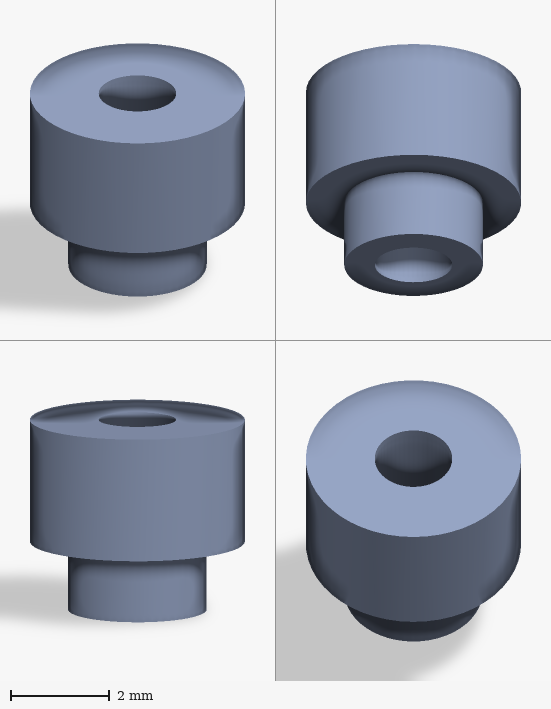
import cadquery as cq

head_diameter = 4.35
shank_diameter = 2.8
bore_diameter = 1.565
total_height = 3.9
head_height = 2.5
shank_height = total_height - head_height

shank = cq.Workplane("XY").circle(shank_diameter / 2).extrude(shank_height)
stepped_body = shank.faces(">Z").workplane().circle(head_diameter / 2).extrude(head_height)

result = stepped_body.faces(">Z").workplane().hole(bore_diameter)